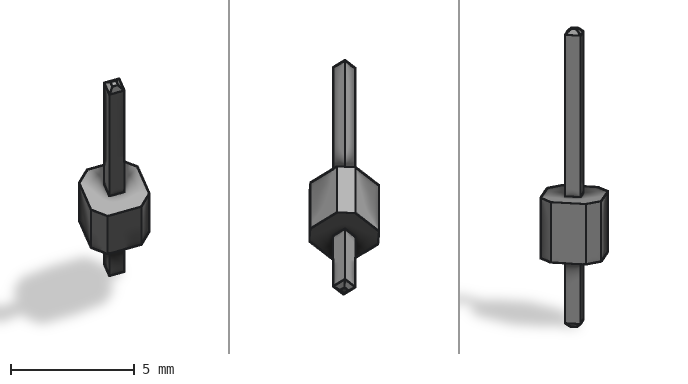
import cadquery as cq

total_height = 12.54
body_width = 2.5
body_height = 2.55
body_corner_chamfer = 0.53
pin_width = 0.64
pin_tip_chamfer = 0.2
pin_length_below_body = 3.0

body = (
    cq.Workplane("XY")
    .rect(body_width, body_width)
    .extrude(body_height)
    .edges("|Z")
    .chamfer(body_corner_chamfer)
)

pin = (
    cq.Workplane("XY")
    .workplane(offset=-pin_length_below_body)
    .rect(pin_width, pin_width)
    .extrude(total_height)
    .faces("<Z or >Z")
    .edges()
    .chamfer(pin_tip_chamfer)
)

result = body.union(pin)